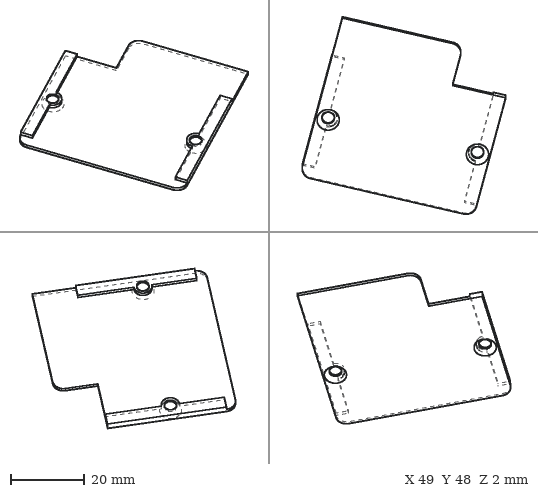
import cadquery as cq

length_x = 49.0
length_y = 48.0
total_height = 2.0
plate_thickness = total_height / 2
corner_radius = 3.0

notch_x = 15.0
notch_y = 12.0

rail_width = 3.5
rail_start_y = corner_radius
rail_end_y = length_y - notch_y
boss_diameter = 5.0
hole_diameter = 3.4
hole_y = 18.0
countersink_diameter = 6.1
countersink_depth = (countersink_diameter - hole_diameter) / 2
hole_xs = (rail_width, length_x - rail_width)


def make_plate():
    """L-shaped plate with three rounded outer corners."""
    outline = [
        (0, 0),
        (length_x, 0),
        (length_x, length_y),
        (notch_x, length_y),
        (notch_x, rail_end_y),
        (0, rail_end_y),
    ]
    plate = cq.Workplane("XY").polyline(outline).close().extrude(plate_thickness)
    rounded_corners = [(0, 0), (length_x, 0), (notch_x, length_y)]
    for x, y in rounded_corners:
        corner = cq.selectors.NearestToPointSelector((x, y, plate_thickness / 2))
        plate = plate.edges("|Z").edges(corner).fillet(corner_radius)
    return plate


def make_rail(left_x, boss_x):
    """Full-height rail joined to its round boss."""
    rail = cq.Workplane("XY").box(
        rail_width, rail_end_y - rail_start_y, total_height, centered=False
    ).translate((left_x, rail_start_y, 0))
    boss = (
        cq.Workplane("XY")
        .center(boss_x, hole_y)
        .circle(boss_diameter / 2)
        .extrude(total_height)
    )
    return rail.union(boss)


rail_left_edges = (0, length_x - rail_width)
result = make_plate()
for left_x, boss_x in zip(rail_left_edges, hole_xs):
    result = result.union(make_rail(left_x, boss_x))


def make_hole(x):
    """Through hole with a countersink opening on the underside."""
    bore = cq.Workplane("XY").center(x, hole_y).circle(hole_diameter / 2).extrude(total_height)
    countersink = (
        cq.Workplane("XY")
        .center(x, hole_y)
        .circle(countersink_diameter / 2)
        .workplane(offset=countersink_depth)
        .circle(hole_diameter / 2)
        .loft(ruled=True)
    )
    return bore.union(countersink)


for x in hole_xs:
    result = result.cut(make_hole(x))